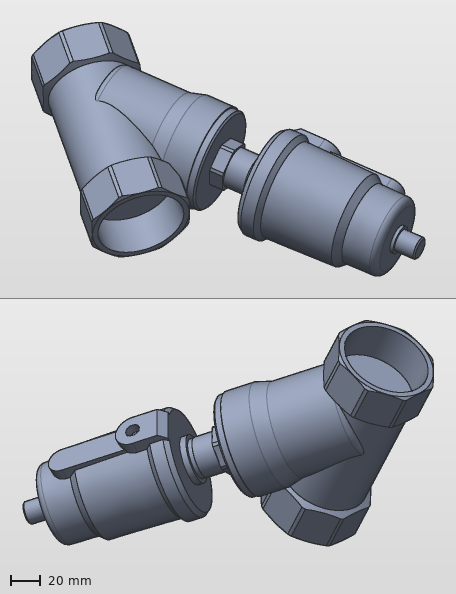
import cadquery as cq
import math


pipe_length = 146.2
pipe_dia = 61.5
end_flats = 67.5
end_round_dia = 72.0
end_length = 30.3
end_outer_chamfer = 1.1
end_inner_chamfer = 2.5
socket_dia = 59.7
socket_depth = 28.0

branch_x = 45.5
branch_tilt = 45.0
branch_dia = 67.7
branch_start = 3.0
branch_fillet = 4.5
flare_start = 54.5
flare_end = 66.0
branch_head_dia = 74.0
branch_top = 86.8

cap_dia = 72.0
cap_top = 92.8
cap_chamfer = 1.3
nut_flats = 30.7
nut_round_dia = 34.0
nut_top = 102.7
neck_dia = 28.5
neck_top = 118.0
groove_dia = 28.0
collar_start = 121.0
collar_dia = 34.0

actuator_base = 125.5
flange_radius = 38.45
flange_chamfer = 2.5
flange_chamfer_length = 3.5
flange_top = 138.8
barrel_base = 142.5
barrel_base_radius = 35.0
barrel_top = 195.5
barrel_top_radius = 33.6
head_base = 201.0
head_base_radius = 29.2
head_top = 227.0
head_top_radius = 28.7
head_fillet = 5.2
pin_seat_dia = 20.0
pin_seat_top = 229.5
pin_dia = 16.0
pin_top = 244.7
pin_chamfer = 1.1

lug_width = 25.1
lug_height = 41.5
lug_centre = 149.1
lug_hole_dia = 9.9
lug_hole_floor = 35.0
rail_width = 20.0
rail_height = 35.9
rail_centre = 203.2


def turned(points):
    """Solid of revolution about X from (station, radius) points, closed along the axis."""
    axis_points = [(points[-1][0], 0), (points[0][0], 0)]
    profile = cq.Workplane("XY").polyline(points + axis_points).close()
    return profile.revolve(360, (0, 0, 0), (1, 0, 0))


def cylinder(start, end, dia):
    return turned([(start, dia / 2), (end, dia / 2)])


def prism(sides, flats, start, end, turn=0):
    """Regular prism along X; with turn = 0 two corners lie on the Y axis."""
    corner_dia = flats / math.cos(math.pi / sides)
    bar = cq.Workplane("YZ", origin=(start, 0, 0)).polygon(sides, corner_dia).extrude(end - start)
    return bar.rotate((0, 0, 0), (1, 0, 0), turn)


def tilted(body):
    """Move a body from the X axis to the inclined branch axis."""
    return body.rotate((0, 0, 0), (0, 0, 1), branch_tilt).translate((branch_x, 0, 0))


def make_pipe_end():
    """Octagonal end with its outer face at X = 0."""
    octagon = prism(8, end_flats, 0, end_length, 180 / 8)
    round_radius = end_round_dia / 2
    turning = turned([
        (0, round_radius - end_inner_chamfer),
        (end_outer_chamfer, round_radius),
        (end_length - end_inner_chamfer, round_radius),
        (end_length, pipe_dia / 2),
    ])
    return octagon.intersect(turning)


def make_branch():
    foot = cylinder(branch_start, flare_start, branch_dia).faces("<X").edges().fillet(branch_fillet)
    flare = turned([
        (flare_start, branch_dia / 2),
        (flare_end, branch_head_dia / 2),
        (branch_top, branch_head_dia / 2),
    ])
    return foot.union(flare)


def make_valve_body():
    near_end = make_pipe_end()
    far_end = near_end.mirror("YZ").translate((pipe_length, 0, 0))
    body = cylinder(0, pipe_length, pipe_dia).union(near_end).union(far_end).union(tilted(make_branch()))
    for start in (0, pipe_length - socket_depth):
        body = body.cut(cylinder(start, start + socket_depth, socket_dia))
    return body


def make_bonnet():
    cap = cylinder(branch_top, cap_top, cap_dia).faces(">X").edges().chamfer(cap_chamfer)
    nut = prism(6, nut_flats, cap_top, nut_top, 30)
    nut = nut.intersect(cylinder(cap_top, nut_top, nut_round_dia))
    neck = cylinder(nut_top, neck_top, neck_dia)
    groove = cylinder(neck_top, collar_start, groove_dia)
    collar = cylinder(collar_start, actuator_base, collar_dia)
    return tilted(cap.union(nut).union(neck).union(groove).union(collar))


def make_side_bar(start, centre, width, height):
    """Bar from the actuator axis out to a height along Y, with a rounded far end."""
    bar = cq.Workplane("XZ").center((start + centre) / 2, 0).rect(centre - start, width).extrude(-height)
    return bar.union(cq.Workplane("XZ").center(centre, 0).circle(width / 2).extrude(-height))


def make_lug():
    lug = make_side_bar(actuator_base, lug_centre, lug_width, lug_height)
    corner = lug_height - (flange_radius - flange_chamfer)
    lug = lug.faces(">Y").edges("<X").chamfer(corner)
    return lug


def make_actuator():
    shell = turned([
        (actuator_base, flange_radius - flange_chamfer),
        (actuator_base + flange_chamfer_length, flange_radius),
        (flange_top, flange_radius),
        (barrel_base, barrel_base_radius),
        (barrel_top, barrel_top_radius),
        (head_base, head_base_radius),
        (head_top, head_top_radius),
    ])
    shell = shell.faces(">X").edges().fillet(head_fillet)
    pin_seat = cylinder(head_top, pin_seat_top, pin_seat_dia)
    pin = cylinder(pin_seat_top, pin_top, pin_dia).faces(">X").edges().chamfer(pin_chamfer)
    rail = make_side_bar(lug_centre, rail_centre, rail_width, rail_height)
    hole = cq.Workplane("XZ", origin=(lug_centre, lug_hole_floor, 0)).circle(lug_hole_dia / 2)
    hole = hole.extrude(lug_hole_floor - lug_height)
    body = shell.union(pin_seat).union(pin).union(rail).union(make_lug()).cut(hole)
    return tilted(body)


valve_body = make_valve_body()
bonnet = make_bonnet()
actuator = make_actuator()

result = cq.Compound.makeCompound([valve_body.val(), bonnet.val(), actuator.val()])